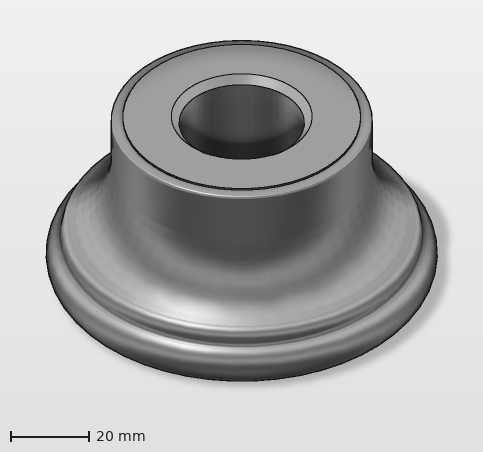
import cadquery as cq
import math

base_radius = 50.0
overall_height = 50.0

foot_round = 6.0
foot_top_z = 11.0

bead_radius = 46.2
bead_round = 3.6
bead_z = 12.8
bead_top_z = 16.1

flare_end_radius = 42.5
flare_bottom_z = 17.1
flare_top_z = 35.1

neck_radius = 66.8 / 2
neck_edge_round = 1.0
sleeve_projection = 0.5
neck_top_z = overall_height - sleeve_projection

sleeve_radius = 60.8 / 2
bore_radius = 32.0 / 2
bore_chamfer = 2.0


def arc_offset(radius, height):
    """Horizontal distance from an arc's centre to its point at the given height above that centre."""
    return math.sqrt(radius**2 - height**2)


def make_housing():
    foot_center_radius = base_radius - foot_round
    foot_top_radius = foot_center_radius + arc_offset(foot_round, foot_top_z - foot_round)
    bead_center_radius = bead_radius - bead_round
    bead_rise = bead_top_z - bead_z
    bead_top_radius = bead_center_radius + arc_offset(bead_round, bead_rise)

    flare_width = flare_end_radius - neck_radius
    flare_height = flare_top_z - flare_bottom_z
    flare_round = (flare_width**2 + flare_height**2) / (2 * flare_width)

    cove_width = foot_top_radius - bead_radius
    cove_height = bead_z - foot_top_z
    cove_round = (cove_width**2 + cove_height**2) / (2 * cove_width)

    profile = (
        cq.Workplane("XZ")
        .moveTo(sleeve_radius, 0)
        .lineTo(foot_center_radius, 0)
        .threePointArc((base_radius, foot_round), (foot_top_radius, foot_top_z))
        .radiusArc((bead_radius, bead_z), cove_round)
        .radiusArc((bead_top_radius, bead_top_z), -bead_round)
        .lineTo(flare_end_radius, flare_bottom_z)
        .radiusArc((neck_radius, flare_top_z), flare_round)
        .lineTo(neck_radius, neck_top_z - neck_edge_round)
        .radiusArc((neck_radius - neck_edge_round, neck_top_z), -neck_edge_round)
        .lineTo(sleeve_radius, neck_top_z)
        .close()
    )
    return profile.revolve(360, (0, 0, 0), (0, 1, 0))


def make_sleeve():
    profile = (
        cq.Workplane("XZ")
        .moveTo(bore_radius, 0)
        .lineTo(sleeve_radius, 0)
        .lineTo(sleeve_radius, overall_height)
        .lineTo(bore_radius + bore_chamfer, overall_height)
        .lineTo(bore_radius, overall_height - bore_chamfer)
        .close()
    )
    return profile.revolve(360, (0, 0, 0), (0, 1, 0))


housing = make_housing()
sleeve = make_sleeve()

result = cq.Compound.makeCompound([housing.val(), sleeve.val()])